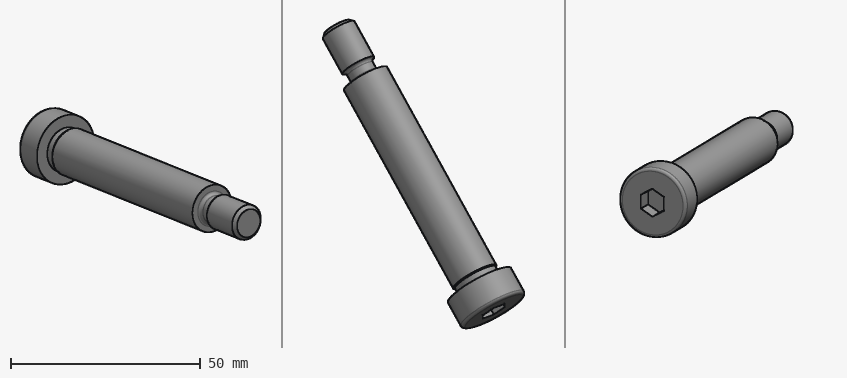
import cadquery as cq
import math

total_length = 87.3

head_radius = 9.5
head_length = 7.95
head_rim_fillet = 0.9

neck_radius = 6.1
neck_length = 2.4

shoulder_diameter = 13.0
shoulder_radius = shoulder_diameter / 2
shoulder_end = 71.4
shoulder_chamfer = 0.3

groove_radius = 3.8
groove_length = 4.0

thread_radius = 4.8
thread_chamfer = 1.0

hex_across_flats = 6.55
hex_depth = 5.0

shoulder_start = head_length + neck_length
thread_start = shoulder_end + groove_length
groove_fillet = thread_radius - groove_radius


def turned_body():
    """Revolve the half outline of the screw about the X axis."""
    outline = (
        cq.Workplane("XY")
        .lineTo(0, head_radius)
        .lineTo(head_length, head_radius)
        .lineTo(head_length, neck_radius)
        .lineTo(shoulder_start, neck_radius)
        .lineTo(shoulder_start + shoulder_chamfer, shoulder_radius)
        .lineTo(shoulder_end, shoulder_radius)
        .lineTo(shoulder_end, groove_radius + groove_fillet)
        .radiusArc((shoulder_end + groove_fillet, groove_radius), -groove_fillet)
        .lineTo(thread_start - groove_fillet, groove_radius)
        .radiusArc((thread_start, thread_radius), -groove_fillet)
        .lineTo(total_length - thread_chamfer, thread_radius)
        .lineTo(total_length, thread_radius - thread_chamfer)
        .lineTo(total_length, 0)
        .close()
    )
    body = outline.revolve(360, (0, 0, 0), (1, 0, 0))
    return body.faces("<X").edges().fillet(head_rim_fillet)


def hex_socket():
    """Hexagonal drive socket with corners pointing up and down."""
    across_corners = hex_across_flats / math.cos(math.pi / 6)
    return (
        cq.Workplane("YZ")
        .transformed(rotate=(0, 0, 90))
        .polygon(6, across_corners)
        .extrude(hex_depth)
    )


result = turned_body().cut(hex_socket())